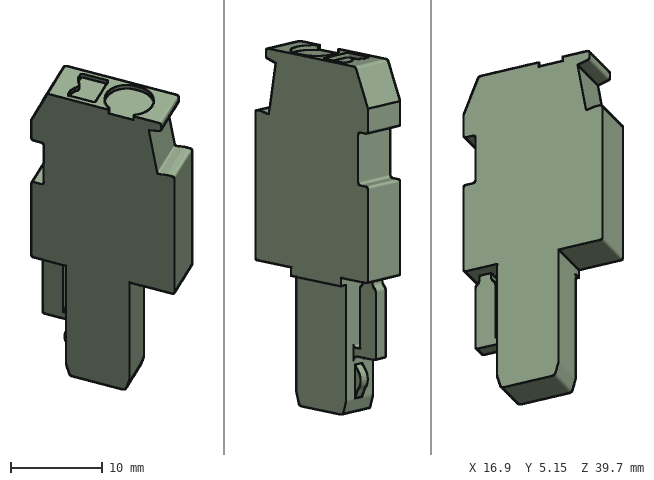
import cadquery as cq

LENGTH = 16.95
WIDTH = 5.15
HEIGHT = 39.7

BODY_BOTTOM = 15.65
NOTCH_DEPTH = 1.45
NOTCH_BOTTOM = 26.48
NOTCH_TOP = 32.45
SLOPE_BOTTOM = 35.3
SLOPE_RUN = 1.85
SHOULDER_TOP = 32.5
SHOULDER_LEFT = 16.05
RECESS_FLOOR_X = 14.93
RECESS_FLOOR_Z = 32.3
LIP_END = 15.35
LIP_TIP_Z = 38.63
LIP_ROOT_X = 13.9
LIP_ROOT_Z = 38.25
CORNER_RADIUS = 0.3
SLOPE_RADIUS = 0.48
RECESS_RADIUS = 0.2

TAIL_LEFT = 4.1
TAIL_RIGHT = 11.6
TAPER_HEIGHT = 1.6
TAPER_RUN = 0.48
TAIL_RADIUS = 0.48
TAPER_RADIUS = 1.0
TAIL_STEP_Z = 14.7
TAIL_STEP_DEPTH = 0.85

LATCH_FRONT = 1.55
LATCH_WIDTH = 1.6
LATCH_LEFT = 0.7
LATCH_RIGHT = 3.15
LATCH_BOTTOM = 6.55
LATCH_SHOULDER = 14.37
LATCH_CHAMFER = 0.495
LINK_TOP = 7.5
LATCH_RADIUS = 0.28
NECK_RADIUS = 0.55
LINK_UPPER_RADIUS = 0.25
LINK_LOWER_RADIUS = 0.55

BUMP_WIDTH = 1.15
BUMP_TOP = 5.5
BUMP_NOSE_TOP = (3.45, 4.7)
BUMP_APEX = (3.2, 3.9)
BUMP_NOSE_BOTTOM = (3.37, 3.15)
BUMP_TOE = (3.7, 2.65)
BUMP_BOTTOM = 1.7

POCKET_DEPTH = 0.5
ROUND_CENTER = (10.62, 2.4)
ROUND_RADIUS = 2.42
ROUND_STRETCH = 0.6
ROUND_OPENING = 2.95
MARKER_LEFT = 4.05
MARKER_RIGHT = 7.3
MARKER_LENGTH = 3.97
MARKER_WAVE_DEPTH = 0.55
MARKER_WAVE_SPAN = 2.3
MARKER_CREST_SPAN = 1.05
MARKER_RADIUS = 0.25


def extrude_along_y(profile, front, width):
    """Extrude a closed XZ profile from Y = front toward +Y."""
    return profile.extrude(-width).translate((0, front, 0))


def fillet_edges(solid, corners, radius):
    """Round the Y-parallel edges that pass through the given XZ corners."""
    reach = 0.02
    for x, z in corners:
        selector = cq.selectors.BoxSelector(
            (x - reach, -WIDTH, z - reach), (x + reach, 2 * WIDTH, z + reach)
        )
        solid = solid.edges("|Y").edges(selector).fillet(radius)
    return solid


def make_body():
    square_corners = [
        (0, BODY_BOTTOM),
        (0, NOTCH_BOTTOM),
        (NOTCH_DEPTH, NOTCH_BOTTOM),
        (NOTCH_DEPTH, NOTCH_TOP),
        (0, NOTCH_TOP),
    ]
    slope = [(0, SLOPE_BOTTOM), (SLOPE_RUN, HEIGHT)]
    lip = [(LIP_END, HEIGHT), (LIP_END, LIP_TIP_Z), (LIP_ROOT_X, LIP_ROOT_Z)]
    recess = [(RECESS_FLOOR_X, RECESS_FLOOR_Z), (SHOULDER_LEFT, SHOULDER_TOP)]
    right_side = [(LENGTH, SHOULDER_TOP), (LENGTH, BODY_BOTTOM)]
    outline = square_corners + slope + lip + recess + right_side
    body = extrude_along_y(cq.Workplane("XZ").polyline(outline).close(), 0, WIDTH)
    body = fillet_edges(body, square_corners + lip[:2] + right_side, CORNER_RADIUS)
    body = fillet_edges(body, recess[:1], RECESS_RADIUS)
    return fillet_edges(body, slope[1:], SLOPE_RADIUS)


def make_tail():
    foot = [(TAIL_LEFT + TAPER_RUN, 0), (TAIL_RIGHT - TAPER_RUN, 0)]
    taper_tops = [(TAIL_LEFT, TAPER_HEIGHT), (TAIL_RIGHT, TAPER_HEIGHT)]
    outline = [
        (TAIL_LEFT, BODY_BOTTOM),
        taper_tops[0],
        *foot,
        taper_tops[1],
        (TAIL_RIGHT, BODY_BOTTOM),
    ]
    tail = extrude_along_y(cq.Workplane("XZ").polyline(outline).close(), 0, WIDTH)
    tail = fillet_edges(tail, foot, TAIL_RADIUS)
    tail = fillet_edges(tail, taper_tops, TAPER_RADIUS)
    step = cq.Workplane("XY").box(LENGTH, TAIL_STEP_DEPTH, TAIL_STEP_Z, centered=False)
    return tail.cut(step.translate((0, WIDTH - TAIL_STEP_DEPTH, 0)))


def make_latch():
    neck_left = LATCH_LEFT + LATCH_CHAMFER
    neck_right = LATCH_RIGHT - LATCH_CHAMFER
    neck_bottom = LATCH_SHOULDER + LATCH_CHAMFER
    left_shoulder = [(neck_left, neck_bottom), (LATCH_LEFT, LATCH_SHOULDER)]
    right_shoulder = [(LATCH_RIGHT, LATCH_SHOULDER), (neck_right, neck_bottom)]
    outline = [
        (neck_left, BODY_BOTTOM),
        *left_shoulder,
        (LATCH_LEFT, LATCH_BOTTOM),
        (TAIL_LEFT, LATCH_BOTTOM),
        (TAIL_LEFT, LINK_TOP),
        (LATCH_RIGHT, LINK_TOP),
        *right_shoulder,
        (neck_right, BODY_BOTTOM),
    ]
    profile = cq.Workplane("XZ").polyline(outline).close()
    latch = extrude_along_y(profile, LATCH_FRONT, LATCH_WIDTH)
    latch = fillet_edges(latch, left_shoulder + right_shoulder, NECK_RADIUS)
    return fillet_edges(latch, [(LATCH_LEFT, LATCH_BOTTOM)], LATCH_RADIUS)


def make_tail_with_latch():
    """Tail and latch joined, with rounded corners where the link meets the tail."""
    joined = make_tail().union(make_latch())
    joined = fillet_edges(joined, [(TAIL_LEFT, LINK_TOP)], LINK_UPPER_RADIUS)
    return fillet_edges(joined, [(TAIL_LEFT, LATCH_BOTTOM)], LINK_LOWER_RADIUS)


def make_bump():
    profile = (
        cq.Workplane("XZ")
        .moveTo(TAIL_LEFT, BUMP_TOP)
        .lineTo(*BUMP_NOSE_TOP)
        .threePointArc(BUMP_APEX, BUMP_NOSE_BOTTOM)
        .lineTo(*BUMP_TOE)
        .lineTo(TAIL_LEFT, BUMP_BOTTOM)
        .close()
    )
    front = LATCH_FRONT + (LATCH_WIDTH - BUMP_WIDTH) / 2
    return extrude_along_y(profile, front, BUMP_WIDTH)


def make_round_pocket():
    """Slightly stretched round pocket that opens through the front face."""
    floor = cq.Workplane("XY").workplane(offset=HEIGHT - POCKET_DEPTH)
    pocket = (
        floor.center(*ROUND_CENTER)
        .slot2D(ROUND_STRETCH + 2 * ROUND_RADIUS, 2 * ROUND_RADIUS)
        .extrude(POCKET_DEPTH)
    )
    center_x, center_y = ROUND_CENTER
    opening = (
        floor.center(center_x, center_y / 2)
        .rect(ROUND_OPENING, center_y)
        .extrude(POCKET_DEPTH)
    )
    return pocket.union(opening)


def make_marker_pocket():
    """Rectangular pocket with a rounded bulge in its left wall."""
    middle = WIDTH / 2
    front = middle - MARKER_LENGTH / 2
    back = middle + MARKER_LENGTH / 2
    half_wave = MARKER_WAVE_SPAN / 2
    half_crest = MARKER_CREST_SPAN / 2
    crest = MARKER_LEFT + MARKER_WAVE_DEPTH
    crest_edge = MARKER_LEFT + MARKER_WAVE_DEPTH / 2
    pocket = (
        cq.Workplane("XY")
        .workplane(offset=HEIGHT - POCKET_DEPTH)
        .moveTo(MARKER_LEFT, front)
        .lineTo(MARKER_RIGHT, front)
        .lineTo(MARKER_RIGHT, back)
        .lineTo(MARKER_LEFT, back)
        .lineTo(MARKER_LEFT, middle + half_wave)
        .lineTo(crest_edge, middle + half_crest)
        .threePointArc((crest, middle), (crest_edge, middle - half_crest))
        .lineTo(MARKER_LEFT, middle - half_wave)
        .close()
        .extrude(POCKET_DEPTH)
    )
    corners = pocket.edges("|Z").edges("<Y or >Y")
    return corners.fillet(MARKER_RADIUS)


result = (
    make_body()
    .union(make_tail_with_latch())
    .union(make_bump())
    .cut(make_round_pocket())
    .cut(make_marker_pocket())
)